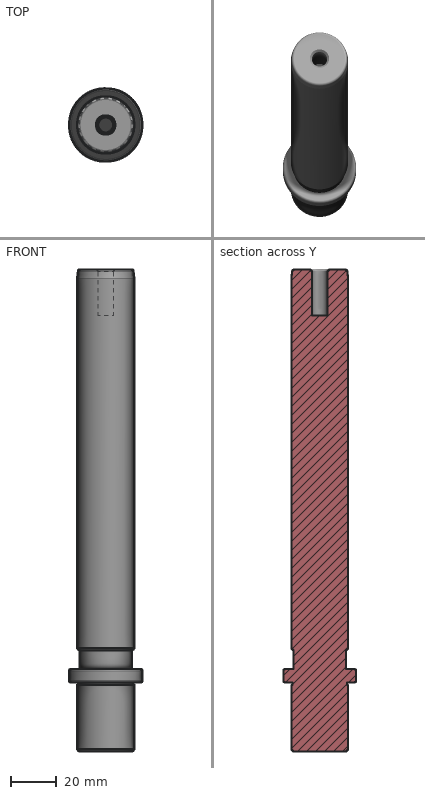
import cadquery as cq

total_length = 210.0
shaft_radius = 12.5

flange_bottom_z = 30.0
shank_chamfer = 1.0
undercut_radius = 12.0
undercut_width = 1.0

flange_radius = 16.0
flange_thickness = 6.0
flange_edge_fillet = 1.0
flange_top_z = flange_bottom_z + flange_thickness

neck_radius = 11.5
neck_length = 8.0
neck_top_z = flange_top_z + neck_length
neck_shoulder = shaft_radius - neck_radius

lead_length = 4.0
lead_tip_radius = 12.0
tip_fillet = 1.0

hole_radius = 3.3
hole_depth = 20.0
hole_mouth_radius = 4.2
hole_chamfer = hole_mouth_radius - hole_radius


def make_shank():
    """Chamfered shank, with a narrower undercut right below the flange."""
    undercut_bottom_z = flange_bottom_z - undercut_width
    shank = cq.Workplane("XY").circle(shaft_radius).extrude(undercut_bottom_z)
    shank = shank.faces("<Z").edges().chamfer(shank_chamfer)
    return shank.faces(">Z").workplane().circle(undercut_radius).extrude(undercut_width)


def make_flange():
    flange = cq.Workplane("XY", origin=(0, 0, flange_bottom_z))
    flange = flange.circle(flange_radius).extrude(flange_thickness)
    return flange.edges().fillet(flange_edge_fillet)


def make_guide_shaft():
    """Revolve the neck, its conical shoulder, the shaft and its tapered tip."""
    shaft = (
        cq.Workplane("XZ")
        .moveTo(0, flange_top_z)
        .lineTo(neck_radius, flange_top_z)
        .lineTo(neck_radius, neck_top_z)
        .lineTo(shaft_radius, neck_top_z + neck_shoulder)
        .lineTo(shaft_radius, total_length - lead_length)
        .lineTo(lead_tip_radius, total_length)
        .lineTo(0, total_length)
        .close()
        .revolve(360, (0, 0, 0), (0, 1, 0))
    )
    return shaft.faces(">Z").edges().fillet(tip_fillet)


def make_tip_hole():
    hole = cq.Workplane("XY", origin=(0, 0, total_length - hole_depth))
    hole = hole.circle(hole_radius).extrude(hole_depth)
    mouth_base = cq.Vector(0, 0, total_length - hole_chamfer)
    mouth = cq.Workplane(cq.Solid.makeCone(hole_radius, hole_mouth_radius, hole_chamfer, mouth_base))
    return hole.union(mouth)


result = make_shank().union(make_flange()).union(make_guide_shaft()).cut(make_tip_hole())